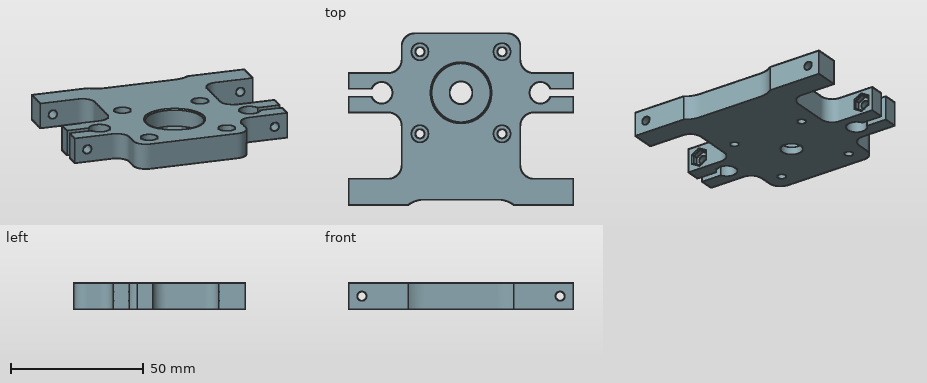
import cadquery as cq
import math

LENGTH = 85.0
DEPTH = 65.0
THICKNESS = 10.0
BODY_WIDTH = 45.0
FOOT_DEPTH = 10.0
CORNER_RADIUS = 5.0

HUB_Y = 42.5
BEARING_DIAMETER = 22.2
BEARING_DEPTH = 7.0
BEARING_CHAMFER = 0.5
SHAFT_DIAMETER = 8.5
MOUNT_SPACING = 31.0
MOUNT_HOLE_DIAMETER = 3.4
MOUNT_HEAD_DIAMETER = 6.5
MOUNT_HEAD_DEPTH = 3.1

CLAMP_WIDTH = 15.0
CLAMP_ROD_SPACING = 60.0
CLAMP_ROD_DIAMETER = 8.1
CLAMP_SLOT_WIDTH = 3.0

SCREW_SPACING = 75.0
SCREW_HOLE_DIAMETER = 3.4
NUT_ACROSS_FLATS = 5.7
NUT_DEPTH = 2.5
NUT_CHAMFER = 0.5

RELIEF_WIDTH = 40.0
RELIEF_DEPTH = 2.0
RELIEF_RADIUS = 10.0

CLAMP_FRONT_Y = HUB_Y - CLAMP_WIDTH / 2
SIDES = (-1, 1)


def box_between(x_min, x_max, y_min, y_max):
    """Full-thickness block spanning the given x and y ranges."""
    block = cq.Workplane("XY").box(x_max - x_min, y_max - y_min, THICKNESS, centered=False)
    return block.translate((x_min, y_min, 0))


def make_plate():
    """Body with two clamp arms and two feet, every inner and rear corner rounded."""
    half_length = LENGTH / 2
    half_body = BODY_WIDTH / 2
    body = box_between(-half_body, half_body, 0, DEPTH)
    arms = box_between(-half_length, half_length, CLAMP_FRONT_Y, CLAMP_FRONT_Y + CLAMP_WIDTH)
    feet = box_between(-half_length, half_length, 0, FOOT_DEPTH)
    plate = body.union(arms).union(feet)
    body_corners = cq.selectors.BoxSelector(
        (-half_body - 0.85, FOOT_DEPTH - 0.85, -0.85),
        (half_body + 0.85, DEPTH + 0.85, THICKNESS + 0.85),
    )
    return plate.edges("|Z").edges(body_corners).fillet(CORNER_RADIUS)


def make_front_relief():
    """Shallow cutter whose rear corners are arcs tangent to its flat bottom."""
    half_width = RELIEF_WIDTH / 2
    arc_run = math.sqrt(RELIEF_RADIUS**2 - (RELIEF_RADIUS - RELIEF_DEPTH) ** 2)
    half_flat = half_width - arc_run
    return (
        cq.Workplane("XY")
        .moveTo(-half_width, 0)
        .radiusArc((-half_flat, RELIEF_DEPTH), RELIEF_RADIUS)
        .lineTo(half_flat, RELIEF_DEPTH)
        .radiusArc((half_width, 0), RELIEF_RADIUS)
        .close()
        .extrude(THICKNESS)
    )


def cut_hub(part):
    """Bearing bore with a chamfered rim, shaft hole and counterbored mounting holes."""
    top = cq.Workplane("XY", origin=(0, HUB_Y, THICKNESS))
    shaft_hole = top.circle(SHAFT_DIAMETER / 2).extrude(-THICKNESS)
    bearing_bore = top.circle(BEARING_DIAMETER / 2).extrude(-BEARING_DEPTH)
    rim = (
        top.circle(BEARING_DIAMETER / 2 + BEARING_CHAMFER)
        .workplane(offset=-BEARING_CHAMFER)
        .circle(BEARING_DIAMETER / 2)
        .loft(ruled=True)
    )
    mounts = top.rect(MOUNT_SPACING, MOUNT_SPACING, forConstruction=True).vertices()
    mount_holes = mounts.circle(MOUNT_HOLE_DIAMETER / 2).extrude(-THICKNESS)
    mount_heads = mounts.circle(MOUNT_HEAD_DIAMETER / 2).extrude(-MOUNT_HEAD_DEPTH)
    for cutter in (shaft_hole, bearing_bore, rim, mount_holes, mount_heads):
        part = part.cut(cutter)
    return part


def make_clamp_opening(side):
    """Rod hole and the slot that splits the arm out to its end."""
    rod_x = side * CLAMP_ROD_SPACING / 2
    end_x = side * LENGTH / 2
    rod_hole = cq.Workplane("XY").center(rod_x, HUB_Y).circle(CLAMP_ROD_DIAMETER / 2).extrude(THICKNESS)
    half_slot = CLAMP_SLOT_WIDTH / 2
    slot = box_between(min(rod_x, end_x), max(rod_x, end_x), HUB_Y - half_slot, HUB_Y + half_slot)
    return rod_hole.union(slot)


def make_screw_cutter(side):
    """Screw hole along y and the hexagonal nut pocket in the front of the clamp arm."""
    screw_x = side * SCREW_SPACING / 2
    front = cq.Workplane("XZ", origin=(screw_x, 0, THICKNESS / 2))
    hole = front.circle(SCREW_HOLE_DIAMETER / 2).extrude(-DEPTH)
    arm_front = cq.Workplane("XZ", origin=(screw_x, CLAMP_FRONT_Y, THICKNESS / 2))
    mouth_across_flats = NUT_ACROSS_FLATS + 2 * NUT_CHAMFER
    pocket = arm_front.polygon(6, NUT_ACROSS_FLATS, circumscribed=True).extrude(-NUT_DEPTH)
    mouth = (
        arm_front.polygon(6, mouth_across_flats, circumscribed=True)
        .workplane(offset=-NUT_CHAMFER)
        .polygon(6, NUT_ACROSS_FLATS, circumscribed=True)
        .loft(ruled=True)
    )
    nut = pocket.union(mouth)
    return hole.union(nut)


result = cut_hub(make_plate().cut(make_front_relief()))
for side in SIDES:
    result = result.cut(make_clamp_opening(side)).cut(make_screw_cutter(side))